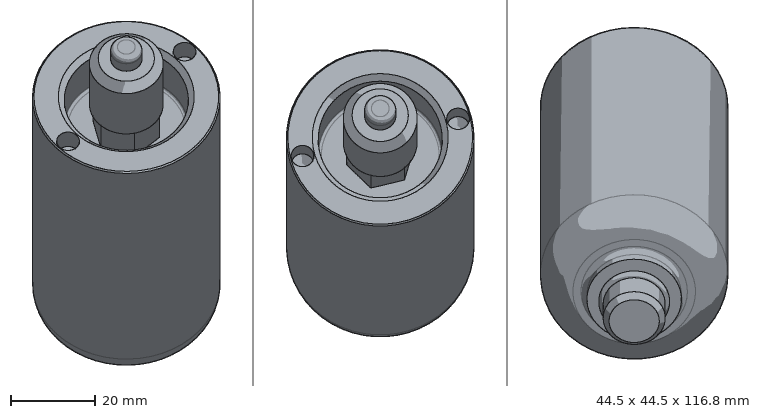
import cadquery as cq
import math

TOTAL_HEIGHT = 116.8
HOUSING_TOP = 96.7
HOUSING_BOTTOM = 13.3
COLLAR_BOTTOM = 9.8

HOUSING_RADIUS = 22.25
HOUSING_TOP_CHAMFER = 0.4
HOUSING_BOTTOM_FILLET = 7.7

COLLAR_RADIUS = 11.2
COLLAR_FILLET = 1.4
PLUG_RADIUS = 7.4
PLUG_CHAMFER = 1.4

RING_SECTION_RADIUS = 1.0
RING_CENTER_RADIUS = PLUG_RADIUS
RING_CENTER_Z = COLLAR_BOTTOM - RING_SECTION_RADIUS
GROOVE_RADIUS = RING_CENTER_RADIUS - RING_SECTION_RADIUS
GROOVE_BOTTOM = COLLAR_BOTTOM - 2 * RING_SECTION_RADIUS

POCKET_RADIUS = 14.7
POCKET_FLOOR = 83.4
POCKET_CHAMFER = 1.4
POCKET_FLOOR_FILLET = 0.7

HEX_ACROSS_FLATS = 14.2
SHAFT_RADIUS = 8.8
SHAFT_BOTTOM = 93.7
SHAFT_TOP = 112.1
SHAFT_CHAMFER = 2.1
TIP_RADIUS = 3.7
TIP_FILLET = 1.6

SPANNER_HOLE_RADIUS = 2.7
SPANNER_HOLE_OFFSET = 19.0
SPANNER_HOLE_DEPTH = 5.8
DRILL_POINT_ANGLE = 118.0


def cylinder(radius, bottom, top):
    """Vertical cylinder on the Z axis between two heights."""
    return cq.Workplane("XY").workplane(offset=bottom).circle(radius).extrude(top - bottom)


def make_shell():
    """Housing barrel with its rounded lower edge and chamfered rim."""
    barrel = cylinder(HOUSING_RADIUS, HOUSING_BOTTOM, HOUSING_TOP)
    barrel = barrel.faces("<Z").edges().fillet(HOUSING_BOTTOM_FILLET)
    return barrel.faces(">Z").edges().chamfer(HOUSING_TOP_CHAMFER)


def make_collar():
    """Collar that flares out through a concave fillet into the housing."""
    flare_radius = COLLAR_RADIUS + COLLAR_FILLET
    flare_bottom = HOUSING_BOTTOM - COLLAR_FILLET
    arc_offset = COLLAR_FILLET * (1 - math.sqrt(0.5))
    arc_middle = (COLLAR_RADIUS + arc_offset, HOUSING_BOTTOM - arc_offset)
    return (
        cq.Workplane("XZ")
        .moveTo(0, COLLAR_BOTTOM)
        .lineTo(COLLAR_RADIUS, COLLAR_BOTTOM)
        .lineTo(COLLAR_RADIUS, flare_bottom)
        .threePointArc(arc_middle, (flare_radius, HOUSING_BOTTOM))
        .lineTo(0, HOUSING_BOTTOM)
        .close()
        .revolve(360, (0, 0, 0), (0, 1, 0))
    )


def make_plug():
    """Chamfered plug with a reduced neck that forms the O-ring groove."""
    plug = cylinder(PLUG_RADIUS, 0, GROOVE_BOTTOM).faces("<Z").edges().chamfer(PLUG_CHAMFER)
    neck = cylinder(GROOVE_RADIUS, GROOVE_BOTTOM, COLLAR_BOTTOM)
    return plug.union(neck)


def make_pocket():
    """Pocket cutter with a rounded floor edge and a flared mouth."""
    bore = cylinder(POCKET_RADIUS, POCKET_FLOOR, HOUSING_TOP)
    bore = bore.faces("<Z").edges().fillet(POCKET_FLOOR_FILLET)
    mouth = (
        cq.Workplane("XY")
        .workplane(offset=HOUSING_TOP - POCKET_CHAMFER)
        .circle(POCKET_RADIUS)
        .workplane(offset=POCKET_CHAMFER)
        .circle(POCKET_RADIUS + POCKET_CHAMFER)
        .loft(ruled=True)
    )
    return bore.union(mouth)


def make_spanner_hole(y):
    """Cutter for one blind hole, ending in a drill point."""
    point_depth = SPANNER_HOLE_RADIUS / math.tan(math.radians(DRILL_POINT_ANGLE / 2))
    hole_bottom = HOUSING_TOP - SPANNER_HOLE_DEPTH
    return (
        cq.Workplane("XZ", origin=(0, y, 0))
        .moveTo(0, HOUSING_TOP)
        .lineTo(SPANNER_HOLE_RADIUS, HOUSING_TOP)
        .lineTo(SPANNER_HOLE_RADIUS, hole_bottom)
        .lineTo(0, hole_bottom - point_depth)
        .close()
        .revolve(360, (0, 0, 0), (0, 1, 0))
    )


def make_stem():
    """Hexagon rising from the pocket floor, topped by the shaft and its tip."""
    across_corners = HEX_ACROSS_FLATS / math.cos(math.pi / 6)
    hexagon = (
        cq.Workplane("XY")
        .workplane(offset=POCKET_FLOOR)
        .transformed(rotate=(0, 0, 90))
        .polygon(6, across_corners)
        .extrude(SHAFT_BOTTOM - POCKET_FLOOR)
    )
    shaft = cylinder(SHAFT_RADIUS, SHAFT_BOTTOM, SHAFT_TOP).faces(">Z").edges().chamfer(SHAFT_CHAMFER)
    tip = cylinder(TIP_RADIUS, SHAFT_TOP, TOTAL_HEIGHT).faces(">Z").edges().fillet(TIP_FILLET)
    return hexagon.union(shaft).union(tip)


def make_housing():
    """Complete housing with collar, plug, pocket, spanner holes and stem."""
    body = make_shell().union(make_collar()).union(make_plug()).cut(make_pocket())
    for y in (-SPANNER_HOLE_OFFSET, SPANNER_HOLE_OFFSET):
        body = body.cut(make_spanner_hole(y))
    return body.union(make_stem())


def make_o_ring():
    """O-ring seated in the groove between the collar and the plug."""
    return (
        cq.Workplane("XZ")
        .center(RING_CENTER_RADIUS, RING_CENTER_Z)
        .circle(RING_SECTION_RADIUS)
        .revolve(360, (-RING_CENTER_RADIUS, 0, 0), (-RING_CENTER_RADIUS, 1, 0))
    )


housing = make_housing()
o_ring = make_o_ring()

result = cq.Compound.makeCompound([housing.val(), o_ring.val()])